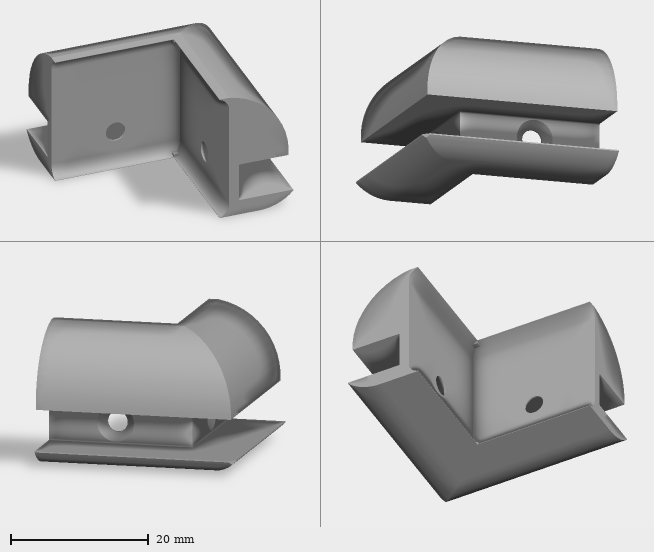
import cadquery as cq
import math

arm_length = 30.0
height = 20.0

wall_inner = 10.0
wall_thickness = 1.5
wall_outer = wall_inner - wall_thickness
lip_reach = 1.5
lip_end = wall_inner + lip_reach
lip_arc_radius = 2.0
groove_floor = 2.4
groove_height = 6.0
groove_top = groove_floor + groove_height
groove_corner_radius = 0.2
nose_x = 0.72
nose_radius = 11.0
toe_radius = 7.32
toe_tangent_x = 5.25

hole_diameter = 3.0
sink_diameter = 5.5
sink_depth = (sink_diameter - hole_diameter) / 2
hole_y = arm_length / 3
hole_z = groove_floor + groove_height / 2

corner_chamfer = 0.87
corner_block_height = 0.55


def arc_middle(center, radius, start, end):
    """Point on a circle halfway between two of its points on a minor arc."""
    across = (start[0] + end[0]) / 2 - center[0]
    up = (start[1] + end[1]) / 2 - center[1]
    stretch = radius / math.hypot(across, up)
    return center[0] + across * stretch, center[1] + up * stretch


def make_profile():
    """Cross-section of one arm in the XZ plane."""
    toe_center = (toe_tangent_x, toe_radius)
    toe_start = (0, toe_radius - math.sqrt(toe_radius**2 - toe_tangent_x**2))
    toe_end = (toe_tangent_x, 0)

    nose_center_x = nose_x + nose_radius
    nose_center_z = height - math.sqrt(nose_radius**2 - (nose_center_x - wall_inner) ** 2)
    nose_center = (nose_center_x, nose_center_z)
    nose_drop = nose_center_z - groove_top
    nose_start = (nose_center_x - math.sqrt(nose_radius**2 - nose_drop**2), groove_top)
    nose_end = (wall_inner, height)

    lip_center_x = wall_inner + lip_arc_radius
    lip_edge = lip_arc_radius - math.sqrt(lip_arc_radius**2 - (lip_center_x - lip_end) ** 2)
    low_center = (lip_center_x, lip_arc_radius)
    low_start = (lip_end, lip_edge)
    low_end = (wall_inner, lip_arc_radius)
    low_middle = arc_middle(low_center, lip_arc_radius, low_start, low_end)
    high_middle = (low_middle[0], height - low_middle[1])

    return (
        cq.Workplane("XZ")
        .moveTo(*toe_start)
        .threePointArc(arc_middle(toe_center, toe_radius, toe_start, toe_end), toe_end)
        .lineTo(lip_end, 0)
        .lineTo(*low_start)
        .threePointArc(low_middle, low_end)
        .lineTo(wall_inner, height - lip_arc_radius)
        .threePointArc(high_middle, (lip_end, height - lip_edge))
        .lineTo(lip_end, height)
        .lineTo(*nose_end)
        .threePointArc(arc_middle(nose_center, nose_radius, nose_start, nose_end), nose_start)
        .lineTo(wall_outer, groove_top)
        .lineTo(wall_outer, groove_floor)
        .lineTo(0, groove_floor)
        .close()
    )


def cut_hole(arm):
    """Drill the web along X, with the countersink opening into the groove."""
    drill = (
        cq.Workplane("YZ", origin=(wall_outer, hole_y, hole_z))
        .circle(hole_diameter / 2)
        .extrude(wall_thickness)
    )
    sink = cq.Workplane(
        cq.Solid.makeCone(
            sink_diameter / 2,
            hole_diameter / 2,
            sink_depth,
            pnt=cq.Vector(wall_outer, hole_y, hole_z),
            dir=cq.Vector(1, 0, 0),
        )
    )
    return arm.cut(drill).cut(sink)


def make_arm():
    """Arm along Y, rounded in the groove and mitred at its far end."""
    bar = make_profile().extrude(-arm_length)
    middle_y = arm_length / 2
    for z in (groove_floor, groove_top):
        corner = cq.selectors.NearestToPointSelector((wall_outer, middle_y, z))
        bar = bar.edges("|Y").edges(corner).fillet(groove_corner_radius)
    mitre_region = (
        cq.Workplane("XY")
        .polyline([(0, 0), (arm_length, 0), (0, arm_length)])
        .close()
        .extrude(height)
    )
    return cut_hole(bar.intersect(mitre_region))


def make_corner_block(base_z):
    """Small square block filling the inside corner between the lips."""
    return cq.Workplane("XY").box(
        lip_reach, lip_reach, corner_block_height, centered=False
    ).translate((wall_inner, arm_length - lip_end, base_z))


arm_y = make_arm()
arm_x = arm_y.mirror((1, 1, 0), (0, arm_length, 0))
bracket = arm_y.union(arm_x)

for base_z in (0, height - corner_block_height):
    bracket = bracket.union(make_corner_block(base_z))

corner_cutter = (
    cq.Workplane("XY")
    .polyline([(0, arm_length), (corner_chamfer, arm_length), (0, arm_length - corner_chamfer)])
    .close()
    .extrude(groove_floor)
)
result = bracket.cut(corner_cutter)